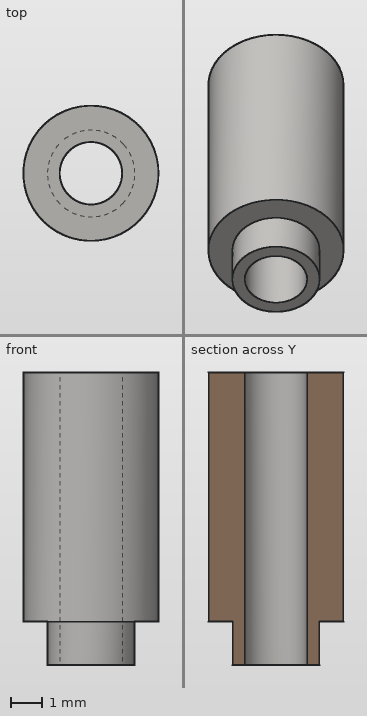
import cadquery as cq

body_diameter = 4.35
body_length = 8.0
spigot_diameter = 2.8
spigot_length = 1.4
bore_diameter = 2.0


def make_body():
    """Main cylinder, standing on the XY plane."""
    return cq.Workplane("XY").circle(body_diameter / 2).extrude(body_length)


def add_spigot(body):
    """Reduced-diameter spigot below the body."""
    spigot = cq.Workplane("XY").circle(spigot_diameter / 2).extrude(-spigot_length)
    return body.union(spigot)


def cut_bore(spacer):
    """Axial bore through the body and the spigot."""
    return spacer.faces(">Z").workplane().circle(bore_diameter / 2).cutThruAll()


result = cut_bore(add_spigot(make_body()))